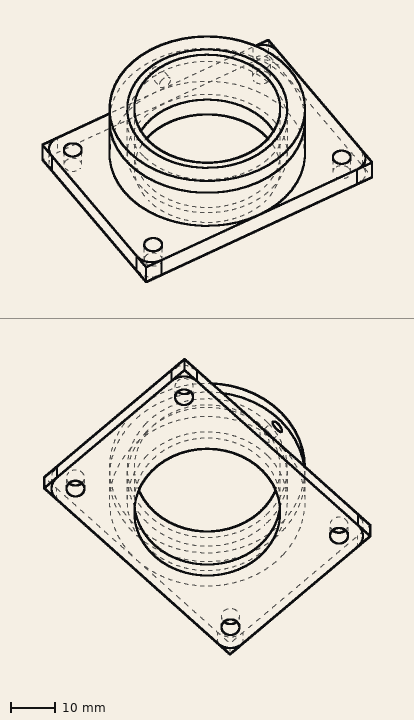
import cadquery as cq

plate_length = 60.0
plate_width = 44.0
plate_thickness = 5.0
corner_radius = 4.0

mount_hole_diameter = 4.0
mount_hole_inset_x = 5.0
mount_hole_inset_y = 5.0

total_height = 20.0
tube_diameter = plate_width
cap_height = 3.95
liner_outer_diameter = 36.0
bore_diameter = 32.8

peg_diameter = 3.0
peg_height = 12.0

cap_bottom = total_height - cap_height
half_width = plate_width / 2
half_length = plate_length / 2


def ring(outer_diameter, inner_diameter, bottom, top):
    """Ring on the Z axis between two heights."""
    return (
        cq.Workplane("XY", origin=(0, 0, bottom))
        .circle(outer_diameter / 2)
        .circle(inner_diameter / 2)
        .extrude(top - bottom)
    )


def make_peg():
    """Radial peg that starts inside the liner wall and ends on the tube's outer surface."""
    peg_root = (liner_outer_diameter + bore_diameter) / 4
    blank = (
        cq.Workplane("YZ", origin=(-peg_root, 0, peg_height))
        .circle(peg_diameter / 2)
        .extrude(peg_root - tube_diameter)
    )
    tube_envelope = cq.Workplane("XY").circle(tube_diameter / 2).extrude(total_height)
    return blank.intersect(tube_envelope)


def make_liner():
    """Sleeve that stands on the plate, fills the tube and cap, and carries the peg."""
    sleeve = ring(liner_outer_diameter, bore_diameter, plate_thickness, total_height)
    return sleeve.union(make_peg())


def make_housing():
    """Rounded plate with four mounting holes and a tube with a hole for the peg."""
    plate = (
        cq.Workplane("XY")
        .rect(plate_width, plate_length)
        .extrude(plate_thickness)
        .edges("|Z")
        .fillet(corner_radius)
    )
    bore = cq.Workplane("XY").circle(bore_diameter / 2).extrude(plate_thickness)
    mount_holes = (
        cq.Workplane("XY")
        .rect(
            plate_width - 2 * mount_hole_inset_x,
            plate_length - 2 * mount_hole_inset_y,
            forConstruction=True,
        )
        .vertices()
        .circle(mount_hole_diameter / 2)
        .extrude(plate_thickness)
    )
    tube = ring(tube_diameter, liner_outer_diameter, plate_thickness, cap_bottom)
    return plate.cut(bore).cut(mount_holes).union(tube).cut(make_peg())


def make_cap():
    """Ring that continues the tube up to the full height."""
    return ring(tube_diameter, liner_outer_diameter, cap_bottom, total_height)


def make_corner(side_x, side_y):
    """Piece that squares off one rounded plate corner; each side is -1 or 1."""
    edge_x = side_x * half_width
    edge_y = side_y * half_length
    arc_center_x = edge_x - side_x * corner_radius
    arc_center_y = edge_y - side_y * corner_radius
    block = (
        cq.Workplane("XY")
        .moveTo(arc_center_x, arc_center_y)
        .lineTo(edge_x, arc_center_y)
        .lineTo(edge_x, edge_y)
        .lineTo(arc_center_x, edge_y)
        .close()
        .extrude(plate_thickness)
    )
    rounding = (
        cq.Workplane("XY")
        .center(arc_center_x, arc_center_y)
        .circle(corner_radius)
        .extrude(plate_thickness)
    )
    return block.cut(rounding)


housing = make_housing()
cap = make_cap()
liner = make_liner()
corners = [make_corner(side_x, side_y) for side_x in (-1, 1) for side_y in (-1, 1)]

result = cq.Compound.makeCompound(
    [housing.val(), cap.val(), liner.val(), *[corner.val() for corner in corners]]
)